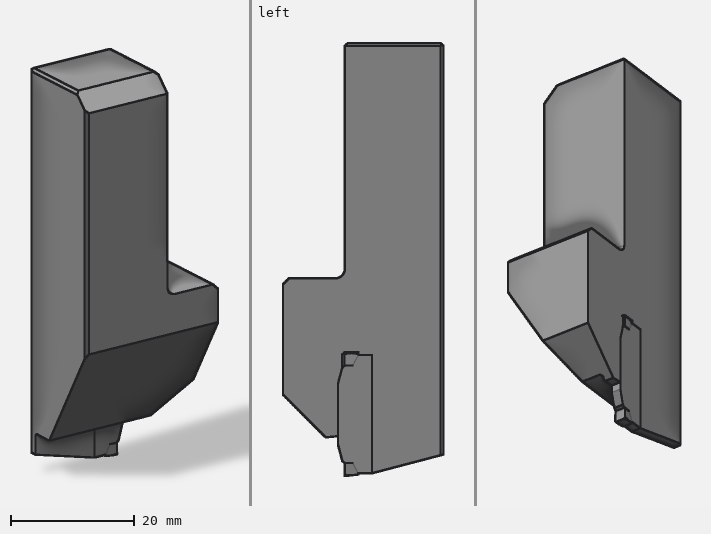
import cadquery as cq
import math

shank_width = 16.0
shank_depth = shank_width
overall_height = 70.0
edge_chamfer = 0.5
top_corner_chamfer = 3.0

head_back = 26.0
head_top = 32.0
head_inner_radius = 1.5
head_outer_chamfer = 1.0
head_ramp_top = 13.2
head_ramp_bottom = 6.25
head_ramp_foot = head_back - (head_ramp_top - head_ramp_bottom)
head_underside_rise = 0.2

blade_thickness = 1.7
blade_front_height = 3.5
body_bottom = 7.15
body_bottom_width = 5.55
body_slope_angle = 30.0
blade_fillet = 0.4

insert_length = 20.0
insert_middle = insert_length / 2
insert_seat = 11.6
insert_back = 17.1
head_front_height = 0.45
seat_half_length = insert_middle - head_front_height
plain_half_length = 4.9
shoulder_half_length = 7.55
shoulder_back = 16.4
cutting_edge_back = 16.0

cutting_width = 2.0
side_overhang = (cutting_width - blade_thickness) / 2
head_length = 2.1
head_front = 13.8
head_tail_front = 14.7
end_relief = 0.25
corner_radius = 0.3
head_half_start = insert_middle - head_length

pocket_clearance = 0.05


def holder_blank():
    """Side outline of shank, head and blade, with the top chamfers, extruded over the full width."""
    outline = [
        (0, blade_front_height),
        (0, overall_height - edge_chamfer),
        (edge_chamfer, overall_height),
        (shank_depth - edge_chamfer, overall_height),
        (shank_depth, overall_height - edge_chamfer),
        (shank_depth, head_top),
        (head_back, head_top),
        (head_back, head_ramp_top),
        (head_ramp_foot, head_ramp_bottom),
        (insert_back, head_ramp_bottom + head_underside_rise),
        (insert_seat, head_ramp_bottom + head_underside_rise),
        (insert_seat, head_front_height),
    ]
    blank = cq.Workplane("YZ").polyline(outline).close().extrude(shank_width)
    inner_corner = cq.selectors.NearestToPointSelector((shank_width / 2, shank_depth, head_top))
    blank = blank.edges(inner_corner).fillet(head_inner_radius)
    outer_corner = cq.selectors.NearestToPointSelector((shank_width / 2, head_back, head_top))
    return blank.edges(outer_corner).chamfer(head_outer_chamfer)


def front_envelope():
    """Front outline: top chamfers, sloped lower flank and thin blade."""
    slope_height = (shank_width - body_bottom_width) / math.tan(math.radians(body_slope_angle))
    outline = [
        (0, 0),
        (0, overall_height - edge_chamfer),
        (edge_chamfer, overall_height),
        (shank_width - top_corner_chamfer, overall_height),
        (shank_width, overall_height - top_corner_chamfer),
        (shank_width, body_bottom + slope_height),
        (body_bottom_width, body_bottom),
        (blade_thickness, body_bottom),
        (blade_thickness, 0),
    ]
    envelope = cq.Workplane("XZ").polyline(outline).close().extrude(-head_back)
    step = cq.selectors.NearestToPointSelector((blade_thickness, head_back / 2, body_bottom))
    return envelope.edges(step).fillet(blade_fillet)


def plan_envelope():
    """Plan outline that chamfers the two vertical front edges."""
    outline = [
        (0, edge_chamfer),
        (edge_chamfer, 0),
        (shank_width - edge_chamfer, 0),
        (shank_width, edge_chamfer),
        (shank_width, head_back),
        (0, head_back),
    ]
    return cq.Workplane("XY").polyline(outline).close().extrude(overall_height)


def make_insert_plate():
    """Plain plate of the insert, as thick as the blade."""
    upper = [
        (insert_back, plain_half_length),
        (shoulder_back, shoulder_half_length),
        (cutting_edge_back, head_half_start),
        (head_tail_front, head_half_start),
        (head_front, seat_half_length),
        (insert_seat, seat_half_length),
    ]
    lower = [(y, -z) for y, z in reversed(upper)]
    plate = cq.Workplane("YZ").polyline(upper + lower).close().extrude(blade_thickness)
    return plate.translate((0, 0, insert_middle))


def make_cutting_head():
    """Lower cutting head: a wedge, flush with the plate along a slanted line and widest at the outer corner."""
    side = [
        (cutting_edge_back, 0),
        (cutting_edge_back, head_length),
        (head_tail_front, head_length),
        (head_front, head_front_height),
        (head_front, end_relief),
    ]
    slab = cq.Workplane("YZ", origin=(-side_overhang, 0, 0)).polyline(side).close().extrude(cutting_width)

    run = head_tail_front - head_front
    rise = head_length - head_front_height
    slant = math.hypot(run, rise)
    reach = ((cutting_edge_back - head_front) * rise + (head_front_height - corner_radius) * run) / slant
    section = [
        (-blade_thickness / 2, 0),
        (blade_thickness / 2, 0),
        (cutting_width / 2, reach),
        (cutting_width / 2, 2 * reach),
        (-cutting_width / 2, 2 * reach),
        (-cutting_width / 2, reach),
    ]
    flush_line = cq.Plane(
        origin=(blade_thickness / 2, head_front, head_front_height),
        xDir=(1, 0, 0),
        normal=(0, run, rise),
    )
    wedge = cq.Workplane(flush_line).polyline(section).close().extrude(2 * slant, both=True)

    rounding = (
        cq.Workplane("XZ")
        .center(blade_thickness / 2, insert_middle)
        .rect(cutting_width, insert_length)
        .extrude(-insert_back)
        .edges("|Y and <Z")
        .fillet(corner_radius)
    )
    return slab.intersect(wedge).intersect(rounding)


def make_insert():
    """Plate with a cutting head at each end."""
    lower_head = make_cutting_head()
    upper_head = lower_head.mirror("XY", (0, 0, insert_middle))
    return make_insert_plate().union(lower_head).union(upper_head)


def upper_head_clearance():
    """Recess that leaves the upper cutting edge free of the holder."""
    recess_top = insert_length + pocket_clearance
    outline = [
        (shoulder_back, insert_middle + shoulder_half_length),
        (shoulder_back, recess_top - (shoulder_back - cutting_edge_back)),
        (cutting_edge_back, recess_top),
        (head_front, recess_top),
        (head_front, insert_middle + seat_half_length),
        (head_tail_front, insert_middle + head_half_start),
    ]
    return cq.Workplane("YZ").polyline(outline).close().extrude(blade_thickness + side_overhang)


def make_holder(insert):
    """Holder body with the seat cut to the shape of the insert."""
    body = holder_blank().intersect(front_envelope()).intersect(plan_envelope())
    return body.cut(upper_head_clearance()).cut(insert)


insert = make_insert()
holder = make_holder(insert)
result = cq.Compound.makeCompound([*holder.solids().vals(), *insert.solids().vals()])